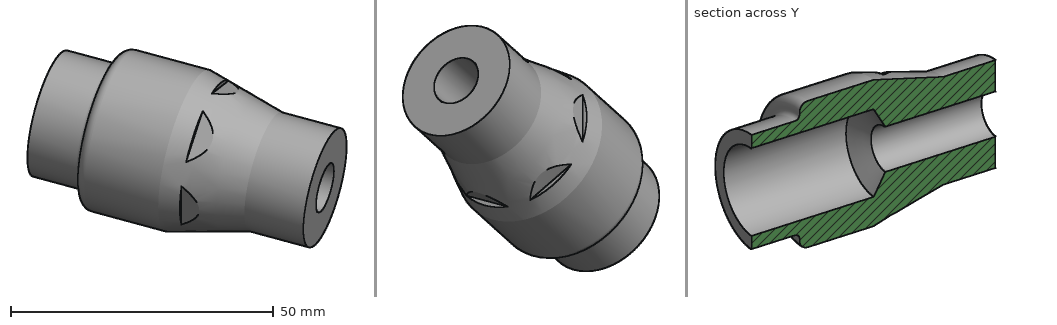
import cadquery as cq
import math

total_length = 56.0
inlet_radius = 12.5
outlet_radius = 11.8
body_radius = 16.0

shoulder_x = 11.0
taper_start_x = 28.0
taper_end_x = 44.0

root_fillet = 1.0
edge_fillet = 2.0

bore_radius = 9.5
throat_radius = 4.875
bore_depth = taper_start_x
throat_half_angle = 60.0
throat_length = (bore_radius - throat_radius) / math.tan(math.radians(throat_half_angle))
throat_x = bore_depth + throat_length

flat_count = 6
across_flats = 28.0
flats_start_x = 32.0


def fillet_midpoint(center_x, center_radius, fillet_radius, x_sign, r_sign):
    """Point half way round a 90 degree round, in (x, radius)."""
    offset = fillet_radius * math.sqrt(0.5)
    return (center_x + x_sign * offset, center_radius + r_sign * offset)


def make_outer_body():
    """Spigots, rounded body and taper as one revolved solid."""
    root_x = shoulder_x - root_fillet
    root_radius = inlet_radius + root_fillet
    root_mid = fillet_midpoint(root_x, root_radius, root_fillet, 1, -1)

    edge_x = shoulder_x + edge_fillet
    edge_radius = body_radius - edge_fillet
    edge_mid = fillet_midpoint(edge_x, edge_radius, edge_fillet, -1, 1)

    profile = (
        cq.Workplane("XZ")
        .moveTo(0, 0)
        .lineTo(0, inlet_radius)
        .lineTo(root_x, inlet_radius)
        .threePointArc(root_mid, (shoulder_x, root_radius))
        .lineTo(shoulder_x, edge_radius)
        .threePointArc(edge_mid, (edge_x, body_radius))
        .lineTo(taper_start_x, body_radius)
        .lineTo(taper_end_x, outlet_radius)
        .lineTo(total_length, outlet_radius)
        .lineTo(total_length, 0)
        .close()
    )
    return profile.revolve(360, (0, 0, 0), (1, 0, 0))


def make_bore():
    """Counterbore, cone and through hole as one revolved tool."""
    profile = (
        cq.Workplane("XZ")
        .moveTo(0, 0)
        .lineTo(0, bore_radius)
        .lineTo(bore_depth, bore_radius)
        .lineTo(throat_x, throat_radius)
        .lineTo(total_length, throat_radius)
        .lineTo(total_length, 0)
        .close()
    )
    return profile.revolve(360, (0, 0, 0), (1, 0, 0))


def cut_wrench_flats(part):
    """Cut evenly spaced flats, the first facing -Y, between the step and the taper end."""
    cutter_length = taper_end_x - flats_start_x
    cutter_width = 2 * body_radius
    cutter_height = body_radius
    cutter = (
        cq.Workplane("XY")
        .box(cutter_length, cutter_height, cutter_width, centered=(False, False, True))
        .translate((flats_start_x, -across_flats / 2 - cutter_height, 0))
    )
    for index in range(flat_count):
        angle = index * 360 / flat_count
        part = part.cut(cutter.rotate((0, 0, 0), (1, 0, 0), angle))
    return part


result = cut_wrench_flats(make_outer_body()).cut(make_bore())